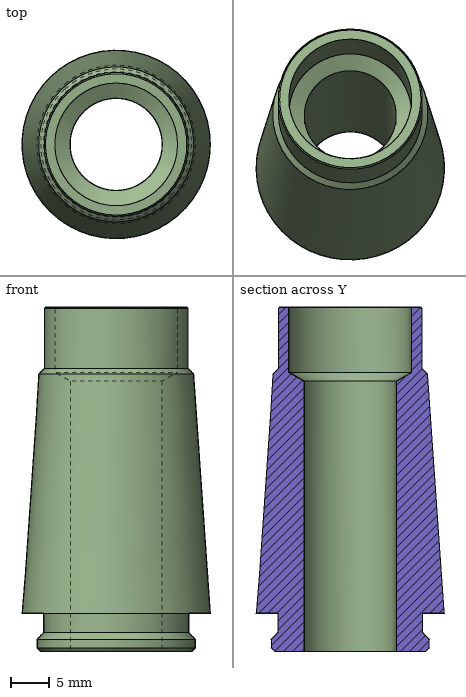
import cadquery as cq
import math

height = 45.0
skirt_diameter = 24.6

rim_diameter = 20.7
rim_foot_chamfer = 0.5
rim_top = 1.6
groove_diameter = 19.0
groove_bottom = rim_top + (rim_diameter - groove_diameter) / 2
skirt_bottom = 5.0

shoulder_diameter = 20.25
shoulder_z = 36.25
neck_diameter = 18.8
neck_bottom = shoulder_z + (shoulder_diameter - neck_diameter) / 2
neck_edge_chamfer = 0.2

bore_diameter = 12.0
socket_diameter = 16.0
socket_floor = 36.5
cone_angle = 30
cone_depth = (socket_diameter - bore_diameter) / 2 * math.tan(math.radians(cone_angle))


def revolve_profile(points):
    """Turn a closed (radius, z) outline about the Z axis."""
    return cq.Workplane("XZ").polyline(points).close().revolve(360, (0, 0), (0, 1))


def make_body():
    """Solid outer shape: rim, groove, tapered skirt and neck."""
    rim_radius = rim_diameter / 2
    neck_radius = neck_diameter / 2
    return revolve_profile([
        (0, 0),
        (rim_radius - rim_foot_chamfer, 0),
        (rim_radius, rim_foot_chamfer),
        (rim_radius, rim_top),
        (groove_diameter / 2, groove_bottom),
        (groove_diameter / 2, skirt_bottom),
        (skirt_diameter / 2, skirt_bottom),
        (shoulder_diameter / 2, shoulder_z),
        (neck_radius, neck_bottom),
        (neck_radius, height - neck_edge_chamfer),
        (neck_radius - neck_edge_chamfer, height),
        (0, height),
    ])


def make_bore():
    """Through bore opening by a cone into the wider socket in the neck."""
    return revolve_profile([
        (0, 0),
        (bore_diameter / 2, 0),
        (bore_diameter / 2, socket_floor - cone_depth),
        (socket_diameter / 2, socket_floor),
        (socket_diameter / 2, height),
        (0, height),
    ])


result = make_body().cut(make_bore())